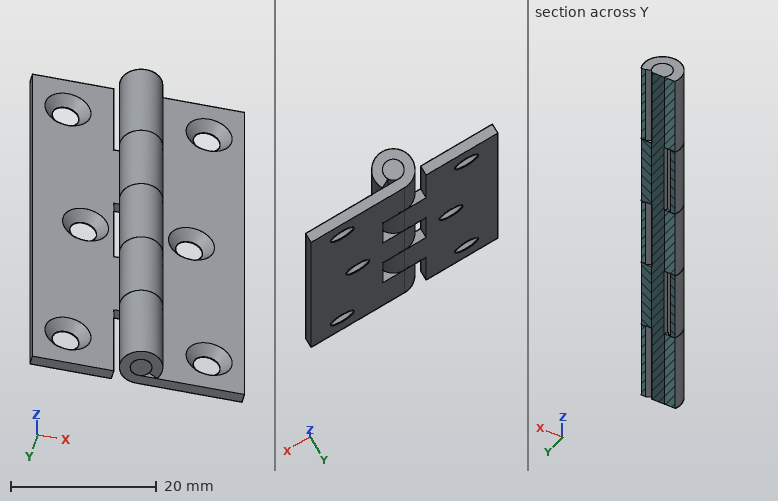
import cadquery as cq
import math

hinge_length = 58.0
open_width = 30.0
barrel_diameter = 6.0
knuckle_length = 10.95
notch_edge = 3.5
curl_end_angle = 29.0

hole_diameter = 3.75
countersink_diameter = 6.5
countersink_angle = 90.0
outer_hole_x = 10.0
outer_hole_inset = 6.0
middle_hole_x = 7.5

barrel_radius = barrel_diameter / 2
leaf_thickness = barrel_radius / 2
pin_radius = barrel_radius - leaf_thickness
leaf_reach = open_width / 2
end_knuckle_length = (hinge_length - 3 * knuckle_length) / 2

knuckle_joints = [
    0.0,
    *[end_knuckle_length + i * knuckle_length for i in range(4)],
    hinge_length,
]
knuckle_spans = list(zip(knuckle_joints[:-1], knuckle_joints[1:]))
right_knuckles = knuckle_spans[0::2]
left_knuckles = knuckle_spans[1::2]

hole_positions = [
    (outer_hole_x, outer_hole_inset),
    (middle_hole_x, hinge_length / 2),
    (outer_hole_x, hinge_length - outer_hole_inset),
]


def on_circle(radius, degrees):
    angle = math.radians(degrees)
    return (radius * math.cos(angle), radius * math.sin(angle))


def rolled_strip():
    """Full-length strip of sheet whose inner edge is rolled around the pin."""
    mid_angle = (90 + 360 + curl_end_angle) / 2
    return (
        cq.Workplane("XY")
        .moveTo(leaf_reach, barrel_radius)
        .lineTo(0, barrel_radius)
        .threePointArc(on_circle(barrel_radius, mid_angle), on_circle(barrel_radius, curl_end_angle))
        .lineTo(*on_circle(pin_radius, curl_end_angle))
        .threePointArc(on_circle(pin_radius, mid_angle), (0, pin_radius))
        .lineTo(leaf_reach, pin_radius)
        .close()
        .extrude(hinge_length)
    )


def notch(bottom, top):
    """Block that clears the rolled edge for a knuckle of the other leaf."""
    return (
        cq.Workplane("XY", origin=(0, 0, bottom))
        .rect(2 * notch_edge, 2 * notch_edge)
        .extrude(top - bottom)
    )


def right_hand_leaf(notches):
    """Leaf on the +X side, notched over the given height spans."""
    leaf = rolled_strip()
    for bottom, top in notches:
        leaf = leaf.cut(notch(bottom, top))
    return (
        cq.Workplane("XZ", origin=(0, pin_radius, 0))
        .add(leaf)
        .pushPoints(hole_positions)
        .cskHole(hole_diameter, countersink_diameter, countersink_angle)
    )


right_leaf = right_hand_leaf(left_knuckles)
left_leaf = right_hand_leaf(right_knuckles).mirror("YZ")
pin = cq.Workplane("XY").circle(pin_radius).extrude(hinge_length)

result = cq.Compound.makeCompound([right_leaf.val(), left_leaf.val(), pin.val()])